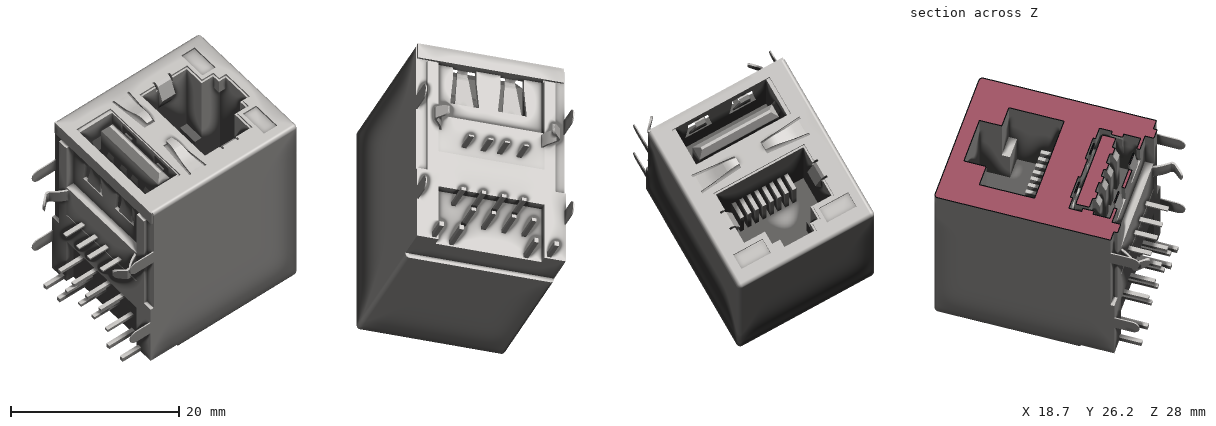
import cadquery as cq
import math


WIDTH = 18.7
DEPTH = 22.5
HEIGHT = 27.25
SHELL = 0.25
EDGE_RADIUS = 0.5
BOTTOM_STEP_HEIGHT = 0.6
BOTTOM_STEP_DEPTH = 4.28
OVERLAP = 0.6

SHELL_SETBACK = 0.47
HOOD_FRONT = 0.21
HOOD_WIDTH = 18.4
HOOD_BOTTOM = 25.3
FACE_WIDTH = 16.1
FACE_TOP = 24.94
REBATE_BOTTOM = 9.96
RECESS_WIDTH = 13.34
RECESS_DEPTH = 1.1
UPPER_RECESS_BOTTOM = 17.75
LOWER_RECESS_TOP = 7.9
INSERT_BOTTOM = 12.73
INSERT_SETBACK = 0.05

RJ45_STEPS = [(6.2, 18.07), (3.36, 19.81), (2.27, 20.86)]
RJ45_FRONT = 10.77
RJ45_FLOOR = 13.0
PORT_LIP = 0.24
KEY_BOTTOM = 25.0
SHOULDER_FRONT = 16.8
SHOULDER_TOP = 17.0
CONTACT_COUNT = 8
CONTACT_PITCH = 1.02
CONTACT_WIDTH = 0.5
CONTACT_REACH = 2.1
CONTACT_TOP = 19.0
LED_CENTRE = (5.845, 19.53)
LED_SIZE = (4.0, 2.0)
RJ45_SPRING_Y = 14.43
RJ45_SPRING_WIDTH = 2.0
RJ45_SPRING_SLOT = (0.46, 2.56)
RJ45_SPRING_SLOT_DEPTH = 1.0
RJ45_SPRING_ROOT_GAP = 0.13
RJ45_SPRING_KNEE = 26.95
RJ45_SPRING_REACH = 0.83
RJ45_SPRING_CREST = 25.0
RJ45_SPRING_BOTTOM = 23.0

USB_FRONT = 1.55
USB_BACK = 6.75
USB_HALF_WIDTH = 6.67
USB_INNER_HALF_WIDTH = 6.2
USB_INNER_BACK = 6.62
USB_FLOOR = 16.0
TONGUE_WIDTH = 10.82
TONGUE_FRONT = 4.33
TONGUE_BACK = 6.08
TONGUE_TOP = 27.05
TONGUE_BEVEL = 0.7
TONGUE_BEVEL_HEIGHT = 1.0
USB_X = (-3.47, -1.03, 1.03, 3.47)
USB_CONTACT_WIDTH = 1.05
USB_CONTACT_TOP = 23.5
USB_CONTACT_BOWS = [(0, 0), (0.3, 0.5), (0.45, 1.2), (0.9, 2.0)]
USB_SPRING_X = 3.0
WINDOW_BOTTOM = 20.3
WINDOW_BEND = 24.0
WINDOW_WIDTHS = (3.64, 2.92)
BACK_WINDOW_TOP = 26.5
BACK_WINDOW_DEPTH = 0.3
LEAF_WIDTHS = (2.37, 1.25)
SPRING_THICKNESS = 0.2
LEAF_ROOT = 1.2
LEAF_BENDS = [(1.8, 24.2), (1.95, 24.65), (2.0, 25.1), (1.6, 25.6)]
SIDE_SPRING_Y = (3.6, 5.08)
SIDE_SPRING_REACH = 0.6
SIDE_SPRING_Z = (18.0, 22.5, 24.0)

PIN_END = -2.8
USB_PIN_Z = 13.93
USB_PIN_SIZE = (0.62, 0.22)
SIGNAL_PITCH = 2.54
SIGNAL_PIN_SIZE = (0.55, 0.42)
SIGNAL_ROWS = [(-4.46, 6.43), (-3.19, 3.88)]
LED_PIN_X = (-7.24, -4.7, 4.7, 7.24)
LED_PIN_Z = 1.1
LED_PIN_SIZE = (0.55, 0.6)

LEG_Z = (19.22, 6.61)
LEG_WIDTH = 1.86
LEG_END = -3.12
LEG_THICKNESS = 0.15
CLIP_Z = 16.62
CLIP_WIDTH = 1.7
CLIP_THICKNESS = 0.3
CLIP_ROOT = 6.27
CLIP_ELBOW = 7.84
CLIP_ELBOW_Y = (-1.9, -2.3)
CLIP_BOW = (6.8, -1.0)
CLIP_TIP = 6.65
CLIP_TIP_BEVEL = 0.2
CLIP_TIP_WIDTH = 1.4
CLIP_TAPER_Y = -1.5
CLIP_END = -3.66

TOP_SPRING_Y = 8.83
TOP_SPRING_ROOT = 7.36
TOP_SPRING_BEND = 7.03
TOP_SPRING_TIP = 1.78
TOP_SPRING_RISE = (4.85, 0.24)
TOP_SPRING_SHOULDER = (3.5, 0.08)
TOP_SPRING_CROWN_X = 2.83
TOP_SPRING_TIP_DROP = 0.2
TOP_SPRING_UNDERSIDE_X = 5.5
TOP_SLOT_WIDTHS = (2.6, 1.6)
TOP_TAB_WIDTHS = (2.0, 0.85)
TOTAL_HEIGHT = 28.0


def block(x0, x1, y0, y1, z0, z1):
    """Box between two corners."""
    return cq.Workplane("XY").box(x1 - x0, y1 - y0, z1 - z0, centered=False).translate((x0, y0, z0))


def centred_block(width, y0, y1, z0, z1):
    """Box symmetric about X = 0."""
    return block(-width / 2, width / 2, y0, y1, z0, z1)


def mirrored(shape):
    """The shape together with its mirror image across X = 0."""
    return shape.union(shape.mirror("YZ"))


def prism_y(points, y0, y1):
    """XZ outline extruded along Y."""
    return cq.Workplane("XZ", origin=(0, y0, 0)).polyline(points).close().extrude(y0 - y1)


def prism_z(points, z0, z1):
    """XY outline extruded along Z."""
    return cq.Workplane("XY", origin=(0, 0, z0)).polyline(points).close().extrude(z1 - z0)


def prism_x(points, centre, width):
    """YZ outline extruded along X about a centre."""
    return cq.Workplane("YZ", origin=(centre, 0, 0)).polyline(points).close().extrude(width / 2, both=True)


def body():
    """Filleted shell block with the hood, rebates and recesses of the board-side face."""
    shell = centred_block(WIDTH, 0, DEPTH, 0, HEIGHT)
    shell = shell.edges("|Y or (>Y and (not |Y))").fillet(EDGE_RADIUS)
    shell = shell.cut(centred_block(WIDTH, 0, BOTTOM_STEP_DEPTH, 0, BOTTOM_STEP_HEIGHT))
    rebate = block(FACE_WIDTH / 2, WIDTH / 2, 0, SHELL_SETBACK, REBATE_BOTTOM, HEIGHT)
    shell = shell.cut(mirrored(rebate))
    shell = shell.cut(centred_block(WIDTH, 0, SHELL_SETBACK, FACE_TOP, HEIGHT))
    shell = shell.union(centred_block(HOOD_WIDTH, HOOD_FRONT, SHELL_SETBACK, HOOD_BOTTOM, HEIGHT))
    shell = shell.cut(centred_block(RECESS_WIDTH, 0, RECESS_DEPTH, UPPER_RECESS_BOTTOM, HOOD_BOTTOM))
    shell = shell.cut(centred_block(RECESS_WIDTH, 0, INSERT_SETBACK, INSERT_BOTTOM, UPPER_RECESS_BOTTOM))
    return shell.cut(centred_block(RECESS_WIDTH, 0, RECESS_DEPTH, 0, LOWER_RECESS_TOP))


def rj45_opening(inset, z0, z1):
    """Stepped plug opening, shrunk by an inset on every side."""
    opening = None
    for half_width, back in RJ45_STEPS:
        step = centred_block(2 * (half_width - inset), RJ45_FRONT + inset, back - inset, z0, z1)
        opening = step if opening is None else opening.union(step)
    return opening


def rj45_cavity():
    """Plug cavity with key blocks, latch groove and floor shoulders."""
    latch_half_width = RJ45_STEPS[1][0] - PORT_LIP
    latch_back = RJ45_STEPS[2][1] - PORT_LIP
    cavity = rj45_opening(0, HEIGHT - SHELL, HEIGHT)
    cavity = cavity.union(rj45_opening(PORT_LIP, RJ45_FLOOR, HEIGHT))
    cavity = cavity.union(
        centred_block(2 * latch_half_width, RJ45_FRONT + PORT_LIP, latch_back, RJ45_FLOOR, KEY_BOTTOM)
    )
    port_half_width, port_back = RJ45_STEPS[0]
    shoulder = block(latch_half_width, port_half_width, SHOULDER_FRONT, port_back, RJ45_FLOOR, SHOULDER_TOP)
    return cavity.cut(mirrored(shoulder))


def rj45_contacts():
    front = RJ45_FRONT + PORT_LIP
    contacts = cq.Workplane("XY")
    for i in range(CONTACT_COUNT):
        x = (i - (CONTACT_COUNT - 1) / 2) * CONTACT_PITCH
        contacts = contacts.union(
            block(x - CONTACT_WIDTH / 2, x + CONTACT_WIDTH / 2, front - OVERLAP, front + CONTACT_REACH,
                  RJ45_FLOOR - OVERLAP, CONTACT_TOP)
        )
    return contacts


def rj45_spring_slots():
    length, width = RJ45_SPRING_SLOT
    half_width = RJ45_STEPS[0][0]
    return mirrored(
        block(half_width - PORT_LIP, half_width + length, RJ45_SPRING_Y - width / 2,
              RJ45_SPRING_Y + width / 2, HEIGHT - RJ45_SPRING_SLOT_DEPTH, HEIGHT)
    )


def rj45_springs():
    """Side leaves that lean into the port and fold back to the wall."""
    rim = RJ45_STEPS[0][0]
    wall = rim - PORT_LIP
    root = rim + RJ45_SPRING_SLOT[0]
    outline = [
        (root, HEIGHT),
        (rim + RJ45_SPRING_ROOT_GAP, HEIGHT),
        (wall, RJ45_SPRING_KNEE),
        (wall - RJ45_SPRING_REACH, RJ45_SPRING_CREST),
        (wall, RJ45_SPRING_BOTTOM),
        (root, RJ45_SPRING_BOTTOM),
    ]
    y0 = RJ45_SPRING_Y - RJ45_SPRING_WIDTH / 2
    return mirrored(prism_y(outline, y0, y0 + RJ45_SPRING_WIDTH))


def led_recesses():
    x, y = LED_CENTRE
    length, width = LED_SIZE
    return mirrored(
        block(x - length / 2, x + length / 2, y - width / 2, y + width / 2, HEIGHT - SHELL, HEIGHT)
    )


def usb_cavity():
    rim = centred_block(2 * USB_HALF_WIDTH, USB_FRONT, USB_BACK, HEIGHT - SHELL, HEIGHT)
    well = centred_block(2 * USB_INNER_HALF_WIDTH, USB_FRONT, USB_INNER_BACK, USB_FLOOR, HEIGHT)
    return rim.union(well)


def usb_tongue():
    """Contact tongue with a bevelled tip."""
    shoulder = TONGUE_TOP - TONGUE_BEVEL_HEIGHT
    bevel_angle = math.degrees(math.atan(TONGUE_BEVEL / TONGUE_BEVEL_HEIGHT))
    tongue = centred_block(TONGUE_WIDTH, TONGUE_FRONT, TONGUE_BACK, USB_FLOOR - OVERLAP, shoulder)
    tip = (
        cq.Workplane("XY", origin=(0, (TONGUE_FRONT + TONGUE_BACK) / 2, shoulder))
        .rect(TONGUE_WIDTH, TONGUE_BACK - TONGUE_FRONT)
        .extrude(TONGUE_BEVEL_HEIGHT, taper=bevel_angle)
    )
    return tongue.union(tip)


def usb_contacts():
    """Bowed contacts on the front of the tongue."""
    bow = [(TONGUE_FRONT - reach, USB_CONTACT_TOP - drop) for reach, drop in USB_CONTACT_BOWS]
    crest = bow[-1][0]
    outline = [(TONGUE_FRONT + OVERLAP, USB_FLOOR - OVERLAP), (TONGUE_FRONT + OVERLAP, USB_CONTACT_TOP)]
    outline += bow
    outline.append((crest, USB_FLOOR - OVERLAP))
    contacts = cq.Workplane("XY")
    for x in USB_X:
        contacts = contacts.union(prism_x(outline, x, USB_CONTACT_WIDTH))
    return contacts


def spring_windows():
    """Tapered windows through the front wall of the USB port and into its back wall."""
    sill = WINDOW_WIDTHS[0] / 2
    head = WINDOW_WIDTHS[1] / 2

    def window(top, y0, y1):
        outline = [
            (USB_SPRING_X - sill, WINDOW_BOTTOM),
            (USB_SPRING_X + sill, WINDOW_BOTTOM),
            (USB_SPRING_X + head, WINDOW_BEND),
            (USB_SPRING_X + head, top),
            (USB_SPRING_X - head, top),
            (USB_SPRING_X - head, WINDOW_BEND),
        ]
        return prism_y(outline, y0, y1)

    front = window(HOOD_BOTTOM, RECESS_DEPTH, USB_FRONT)
    back = window(BACK_WINDOW_TOP, USB_INNER_BACK, USB_INNER_BACK + BACK_WINDOW_DEPTH)
    return mirrored(front.union(back))


def usb_leaf_springs():
    """Leaves rooted at the window sills, leaning into the USB port from front and back."""
    outer = [(LEAF_ROOT, WINDOW_BOTTOM - OVERLAP), (LEAF_ROOT, WINDOW_BOTTOM)] + LEAF_BENDS
    inner = [(y + SPRING_THICKNESS, z) for y, z in reversed(outer)]
    side = outer + inner
    sill, head = [width / 2 for width in LEAF_WIDTHS]
    face = [
        (USB_SPRING_X - sill, WINDOW_BOTTOM - OVERLAP),
        (USB_SPRING_X + sill, WINDOW_BOTTOM - OVERLAP),
        (USB_SPRING_X + sill, WINDOW_BOTTOM),
        (USB_SPRING_X + head, HOOD_BOTTOM),
        (USB_SPRING_X + head, HEIGHT),
        (USB_SPRING_X - head, HEIGHT),
        (USB_SPRING_X - head, HOOD_BOTTOM),
        (USB_SPRING_X - sill, WINDOW_BOTTOM),
    ]
    front = prism_x(side, USB_SPRING_X, WINDOW_WIDTHS[0]).intersect(prism_y(face, 0, USB_BACK))
    port_middle = (USB_FRONT + USB_BACK) / 2
    back = front.mirror("XZ", (0, port_middle, 0))
    return mirrored(front.union(back))


def usb_side_springs():
    """Humps on the side walls of the USB port."""
    bottom, crest, top = SIDE_SPRING_Z
    wall = USB_INNER_HALF_WIDTH
    outline = [
        (wall + OVERLAP, top),
        (wall, top),
        (wall - SIDE_SPRING_REACH, crest),
        (wall, bottom),
        (wall + OVERLAP, bottom),
    ]
    return mirrored(prism_y(outline, *SIDE_SPRING_Y))


def taper_plan(widths):
    """Plan outline of a top spring or its slot, narrowing toward the tip."""
    root, tip = widths
    return prism_z(
        [
            (TOP_SPRING_ROOT, TOP_SPRING_Y - root / 2),
            (TOP_SPRING_ROOT, TOP_SPRING_Y + root / 2),
            (TOP_SPRING_TIP, TOP_SPRING_Y + tip / 2),
            (TOP_SPRING_TIP, TOP_SPRING_Y - tip / 2),
        ],
        HEIGHT - SHELL,
        TOTAL_HEIGHT + OVERLAP,
    )


def top_springs():
    """Leaves in the top face, bowed above it."""
    floor = HEIGHT - SHELL
    t = SPRING_THICKNESS
    crown = TOTAL_HEIGHT
    rise_x, rise_z = TOP_SPRING_RISE[0], HEIGHT + TOP_SPRING_RISE[1]
    shoulder_x, shoulder_z = TOP_SPRING_SHOULDER[0], crown - TOP_SPRING_SHOULDER[1]
    tip_z = crown - TOP_SPRING_TIP_DROP
    profile = (
        cq.Workplane("XZ")
        .moveTo(TOP_SPRING_ROOT, floor)
        .lineTo(TOP_SPRING_ROOT, HEIGHT)
        .lineTo(TOP_SPRING_BEND, HEIGHT)
        .spline([(rise_x, rise_z), (shoulder_x, shoulder_z)], tangents=[(-1, 0.03), (-1, 0.25)],
                includeCurrent=True)
        .threePointArc((TOP_SPRING_CROWN_X, crown), (TOP_SPRING_TIP, tip_z))
        .lineTo(TOP_SPRING_TIP, tip_z - t)
        .threePointArc((TOP_SPRING_CROWN_X, crown - t), (shoulder_x, shoulder_z - t))
        .lineTo(rise_x, rise_z - t)
        .lineTo(TOP_SPRING_UNDERSIDE_X, floor)
        .close()
        .extrude(-DEPTH)
    )
    return mirrored(profile.intersect(taper_plan(TOP_TAB_WIDTHS)))


def pin(x, z, size):
    width, height = size
    return block(x - width / 2, x + width / 2, PIN_END, RECESS_DEPTH + OVERLAP, z - height / 2, z + height / 2)


def terminals():
    pins = cq.Workplane("XY")
    for x in USB_X:
        pins = pins.union(pin(x, USB_PIN_Z, USB_PIN_SIZE))
    for first_x, z in SIGNAL_ROWS:
        for i in range(CONTACT_COUNT // 2):
            pins = pins.union(pin(first_x + i * SIGNAL_PITCH, z, SIGNAL_PIN_SIZE))
    for x in LED_PIN_X:
        pins = pins.union(pin(x, LED_PIN_Z, LED_PIN_SIZE))
    return pins


def legs():
    """Round-ended board legs in the plane of the shell sides."""
    radius = LEG_WIDTH / 2
    pair = cq.Workplane("XY")
    for z in LEG_Z:
        leg = (
            cq.Workplane("YZ", origin=(WIDTH / 2 - LEG_THICKNESS, 0, 0))
            .moveTo(OVERLAP, z - radius)
            .lineTo(LEG_END + radius, z - radius)
            .threePointArc((LEG_END, z), (LEG_END + radius, z + radius))
            .lineTo(OVERLAP, z + radius)
            .close()
            .extrude(LEG_THICKNESS)
        )
        pair = pair.union(leg)
    return mirrored(pair)


def clips():
    """Bent retention clips, narrowed and rounded toward the tip."""
    outer_root = CLIP_ROOT + CLIP_THICKNESS
    inner_elbow = CLIP_ELBOW - CLIP_THICKNESS
    bow_x, bow_y = CLIP_BOW
    elbow_start, elbow_end = CLIP_ELBOW_Y
    bend = (
        cq.Workplane("XY", origin=(0, 0, CLIP_Z))
        .moveTo(CLIP_ROOT, OVERLAP)
        .lineTo(outer_root, OVERLAP)
        .lineTo(outer_root, 0)
        .threePointArc((bow_x + CLIP_THICKNESS, bow_y), (CLIP_ELBOW, elbow_start))
        .lineTo(CLIP_ELBOW, elbow_end)
        .lineTo(CLIP_TIP, CLIP_END)
        .lineTo(CLIP_TIP - CLIP_TIP_BEVEL, CLIP_END + CLIP_TIP_BEVEL)
        .lineTo(inner_elbow, elbow_end)
        .lineTo(inner_elbow, elbow_start)
        .threePointArc(CLIP_BOW, (CLIP_ROOT, 0))
        .close()
        .extrude(CLIP_WIDTH / 2, both=True)
    )
    half = CLIP_WIDTH / 2
    tip = CLIP_TIP_WIDTH / 2
    plan = (
        cq.Workplane("YZ")
        .moveTo(OVERLAP, CLIP_Z - half)
        .lineTo(CLIP_TAPER_Y, CLIP_Z - half)
        .lineTo(CLIP_END + tip, CLIP_Z - tip)
        .threePointArc((CLIP_END, CLIP_Z), (CLIP_END + tip, CLIP_Z + tip))
        .lineTo(CLIP_TAPER_Y, CLIP_Z + half)
        .lineTo(OVERLAP, CLIP_Z + half)
        .close()
        .extrude(WIDTH / 2)
    )
    return mirrored(bend.intersect(plan))


cuts = [
    rj45_cavity(), rj45_spring_slots(), led_recesses(), usb_cavity(), spring_windows(),
    mirrored(taper_plan(TOP_SLOT_WIDTHS)),
]
additions = [
    rj45_contacts(), rj45_springs(), usb_tongue(), usb_contacts(), usb_leaf_springs(),
    usb_side_springs(), top_springs(), terminals(), legs(), clips(),
]

result = body()
for cut in cuts:
    result = result.cut(cut)
for addition in additions:
    result = result.union(addition)